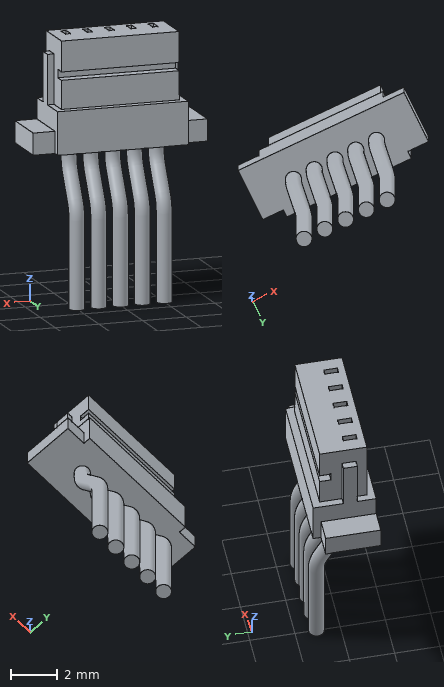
import cadquery as cq
import math


BODY_WIDTH = 6.0
BODY_DEPTH = 2.8
BODY_HEIGHT = 1.95
FLANGE_SPAN = 8.0
FLANGE_HEIGHT = 1.0

PLUG_WIDTH = 5.4
PLUG_TOP = 5.0
LEDGE = 0.35

RAIL_DEPTH = 0.62
RAIL_TOP = 4.2
RAIL_FRONT_OFFSET = 0.84

NOTCH_DEPTH = 0.5
NOTCH_HEIGHT = 0.37
NOTCH_BOTTOM = 3.25

CONTACT_COUNT = 5
PITCH = 1.0
SLOT_WIDTH = 0.24
SLOT_LENGTH = 0.6
SLOT_FRONT_OFFSET = 0.68
SLOT_DEPTH = 2.0

WIRE_DIAMETER = 0.7
WIRE_SHIFT = BODY_DEPTH / 2 - WIRE_DIAMETER / 2
WIRE_BOTTOM = -7.0
TAIL_LENGTH = 4.0
BEND_RADIUS = 1.5
BEND_ANGLE = math.radians(30)

BODY_FRONT = -BODY_DEPTH / 2
BODY_BACK = BODY_DEPTH / 2
PLUG_FRONT = BODY_FRONT + LEDGE
PLUG_BACK = BODY_BACK - LEDGE
CONTACT_XS = [(i - (CONTACT_COUNT - 1) / 2) * PITCH for i in range(CONTACT_COUNT)]


def block(width, front, back, bottom, top, x=0.0):
    """Box centred on x, between the given Y and Z limits."""
    return (
        cq.Workplane("XY")
        .box(width, back - front, top - bottom, centered=(True, False, False))
        .translate((x, front, bottom))
    )


def make_housing():
    body = block(BODY_WIDTH, BODY_FRONT, BODY_BACK, 0, BODY_HEIGHT)
    flanges = block(FLANGE_SPAN, BODY_FRONT, PLUG_BACK, 0, FLANGE_HEIGHT)
    plug = block(PLUG_WIDTH, PLUG_FRONT, PLUG_BACK, 0, PLUG_TOP)
    notch = block(
        PLUG_WIDTH, PLUG_BACK - NOTCH_DEPTH, PLUG_BACK, NOTCH_BOTTOM, NOTCH_BOTTOM + NOTCH_HEIGHT
    )
    rail_front = BODY_FRONT + RAIL_FRONT_OFFSET
    rails = block(BODY_WIDTH, rail_front, rail_front + RAIL_DEPTH, 0, RAIL_TOP)
    return body.union(flanges).union(plug.cut(notch)).union(rails)


def make_slot(x):
    front = BODY_FRONT + SLOT_FRONT_OFFSET
    return block(SLOT_WIDTH, front, front + SLOT_LENGTH, PLUG_TOP - SLOT_DEPTH, PLUG_TOP, x)


def make_wire(x):
    def arc_offset(angle):
        """Sideways shift and drop after bending from vertical by the angle."""
        return BEND_RADIUS * (1 - math.cos(angle)), BEND_RADIUS * math.sin(angle)

    bend_shift, bend_drop = arc_offset(BEND_ANGLE)
    mid_shift, mid_drop = arc_offset(BEND_ANGLE / 2)
    slope_drop = (WIRE_SHIFT - 2 * bend_shift) / math.tan(BEND_ANGLE)
    tail_top = WIRE_BOTTOM + TAIL_LENGTH
    stub_bottom = tail_top + 2 * bend_drop + slope_drop

    path = (
        cq.Workplane("YZ", origin=(x, 0, 0))
        .moveTo(0, 0)
        .lineTo(0, stub_bottom)
        .threePointArc((mid_shift, stub_bottom - mid_drop), (bend_shift, stub_bottom - bend_drop))
        .lineTo(WIRE_SHIFT - bend_shift, tail_top + bend_drop)
        .threePointArc((WIRE_SHIFT - mid_shift, tail_top + mid_drop), (WIRE_SHIFT, tail_top))
        .lineTo(WIRE_SHIFT, WIRE_BOTTOM)
    )
    return cq.Workplane("XY", origin=(x, 0, 0)).circle(WIRE_DIAMETER / 2).sweep(path)


result = make_housing()
for contact_x in CONTACT_XS:
    result = result.cut(make_slot(contact_x)).union(make_wire(contact_x))